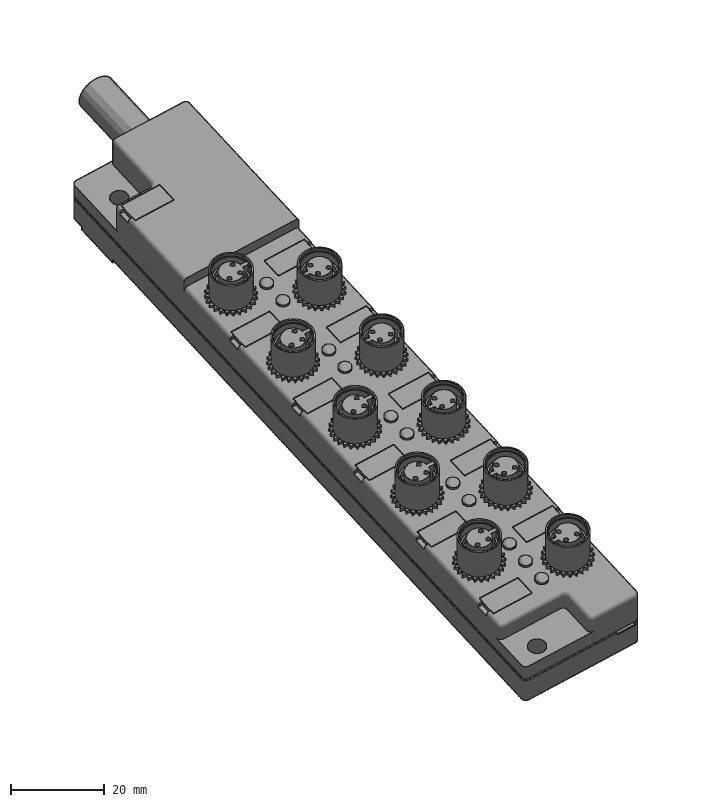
import cadquery as cq
import math


total_length = 186.9
width = 30.0
total_height = 25.6
cable_length = 18.7
lip_projection = 0.5
housing_end = total_length - lip_projection
step_x = 60.2
tall_height = 19.6
deck_height = 16.8
edge_radius = 1.1
bottom_chamfer = 1.0

ledge_height = 12.0
left_ledge_end = 34.4
left_ledge_width = 10.0
right_ledge_start = 177.0
right_ledge_width = 17.0
screw_diameter = 4.1
screw_y = 5.8
left_screw_x = 28.0
right_screw_x = 182.8
screw_pad_diameter = 11.4

joint_z = 7.7
joint_gap = 0.5
joint_depth = 0.4
lip_thickness = 0.4
lip_start_y = 24.0
lip_width = 4.7

cable_diameter = 8.8
cable_y = 19.5
cable_z = 10.8
entry_depth = 0.5
entry_upper_diameter = 12.0
entry_lower_diameter = 11.4

pitch = 23.0
sockets_per_row = 5
front_socket_x = 67.8
front_socket_y = 7.0
back_socket_x = 77.5
back_socket_y = 23.2

shell_diameter = 9.5
mouth_diameter = 8.8
bore_diameter = 8.2
inner_bore_diameter = 7.3
insert_diameter = 5.6
mouth_depth = 0.7
bore_depth = 3.0
inner_bore_depth = 4.7
key_width = 1.0
pin_diameter = 1.05
pin_depth = 3.7
pin_offset = 1.4
collar_diameter = 11.4
collar_height = 0.7
collar_teeth = 24

dome_diameter = 3.0
dome_rim_height = 0.5
dome_cap_height = 0.5
dome_spacing = 6.0
first_dome_x = 69.5
last_group_x = 159.5
last_group_count = 3

label_width = 5.2
label_depth = 0.2
label_notch_width = 3.0
back_label_x = 66.3
back_label_start_y = 18.5
front_label_x = 78.7
front_label_end_y = 11.2
tall_label_x = 38.0


def box(x_range, y_range, z_range):
    """Box between the given limits along each axis."""
    low, high = zip(x_range, y_range, z_range)
    size = [b - a for a, b in zip(low, high)]
    return cq.Workplane("XY").box(*size, centered=False).translate(low)


def cylinder(diameter, bottom, top, x=0, y=0):
    """Upright cylinder between two heights."""
    return cq.Workplane("XY", origin=(x, y, bottom)).circle(diameter / 2).extrude(top - bottom)


def rounded_block(outline, bottom, height):
    """Upright block on a closed outline, with all upright corners and the top rim rounded."""
    block = cq.Workplane("XY", origin=(0, 0, bottom)).polyline(outline).close().extrude(height - bottom)
    return block.edges("|Z").fillet(edge_radius).faces(">Z").edges().fillet(edge_radius)


def housing():
    """Full-length base below the ledges, a low deck and a tall block at the cable end."""
    base = box((cable_length, housing_end), (0, width), (0, ledge_height))
    base = base.edges("|Z").fillet(edge_radius).faces("<Z").edges().chamfer(bottom_chamfer)

    overrun = 2 * edge_radius

    deck_start = step_x - overrun
    deck_outline = [
        (deck_start, 0),
        (right_ledge_start, 0),
        (right_ledge_start, right_ledge_width),
        (housing_end, right_ledge_width),
        (housing_end, width),
        (deck_start, width),
    ]
    deck = rounded_block(deck_outline, ledge_height, deck_height)
    deck = deck.intersect(box((step_x, total_length), (0, width), (0, total_height)))

    tall_end = step_x + overrun
    tall_outline = [
        (cable_length, left_ledge_width),
        (left_ledge_end, left_ledge_width),
        (left_ledge_end, 0),
        (tall_end, 0),
        (tall_end, width),
        (cable_length, width),
    ]
    tall_block = rounded_block(tall_outline, ledge_height, tall_height)
    tall_block = tall_block.intersect(box((cable_length, step_x), (0, width), (0, total_height)))

    return base.union(deck).union(tall_block)


def screw_pad():
    """Pad around the left screw hole that fills the chamfered bottom edge out to the front side."""
    pad = cylinder(screw_pad_diameter, 0, bottom_chamfer, left_screw_x, screw_y)
    half_pad = screw_pad_diameter / 2
    bridge = box((left_screw_x - half_pad, left_screw_x + half_pad), (0, screw_y), (0, bottom_chamfer))
    return pad.union(bridge)


def joint_groove():
    """Shallow groove around the housing where the two shells meet."""
    z_range = (joint_z - joint_gap / 2, joint_z + joint_gap / 2)
    outer = box((cable_length, housing_end), (0, width), z_range)
    inner = box(
        (cable_length + joint_depth, housing_end - joint_depth),
        (joint_depth, width - joint_depth),
        z_range,
    )
    inner = inner.edges("|Z").fillet(edge_radius - joint_depth)
    return outer.cut(inner)


def joint_lip():
    """Small lip that sticks out of the far end at the joint."""
    z_range = (joint_z - lip_thickness / 2, joint_z + lip_thickness / 2)
    return box(
        (housing_end - edge_radius, total_length),
        (lip_start_y, lip_start_y + lip_width),
        z_range,
    )


def cable_entry():
    """Shallow recess around the cable: an arch in the upper shell and a round seat in the lower one."""
    end_plane = cq.Workplane("YZ", origin=(cable_length, cable_y, cable_z))
    arch_radius = entry_upper_diameter / 2
    joint_drop = joint_z - cable_z
    arch = (
        end_plane.moveTo(-arch_radius, joint_drop)
        .lineTo(-arch_radius, 0)
        .threePointArc((0, arch_radius), (arch_radius, 0))
        .lineTo(arch_radius, joint_drop)
        .close()
        .extrude(entry_depth)
    )
    seat = end_plane.circle(entry_lower_diameter / 2).extrude(entry_depth)
    return arch.union(seat)


def cable():
    """Round cable that runs from the free end into the housing."""
    start = cq.Workplane("YZ", origin=(0, cable_y, cable_z))
    return start.circle(cable_diameter / 2).extrude(cable_length + 2 * entry_depth)


def knurled_collar():
    """Low ring of pointed teeth around the foot of a socket."""
    outline = []
    for index in range(2 * collar_teeth):
        radius = (collar_diameter if index % 2 == 0 else shell_diameter) / 2
        angle = math.pi * index / collar_teeth
        outline.append((radius * math.cos(angle), radius * math.sin(angle)))
    deck = cq.Workplane("XY", origin=(0, 0, deck_height))
    return deck.polyline(outline).close().extrude(collar_height)


def socket():
    """Socket centred on the Z axis, with its key facing -Y and its knurled collar on the deck."""
    top = total_height
    shell = cylinder(shell_diameter, deck_height, top)
    body = shell.union(knurled_collar())

    mouth = cylinder(mouth_diameter, top - mouth_depth, top)
    bore = cylinder(bore_diameter, top - bore_depth, top)
    inner_bore = cylinder(inner_bore_diameter, top - inner_bore_depth, top)
    body = body.cut(mouth).cut(bore).cut(inner_bore)

    insert = cylinder(insert_diameter, top - inner_bore_depth, top - mouth_depth)
    key = box(
        (-key_width / 2, key_width / 2),
        (-mouth_diameter / 2, 0),
        (top - inner_bore_depth, top - mouth_depth),
    )
    body = body.union(insert).union(key)
    for x_side, y_side in [(1, 1), (1, -1), (-1, -1)]:
        pin_hole = cylinder(
            pin_diameter, top - mouth_depth - pin_depth, top, x_side * pin_offset, y_side * pin_offset
        )
        body = body.cut(pin_hole)
    return body


def dome(x):
    """Indicator dome on the long centre line of the deck: a short round rim under a curved cap."""
    radius = dome_diameter / 2
    top = dome_rim_height + dome_cap_height
    cap_radius = (radius**2 + dome_cap_height**2) / (2 * dome_cap_height)
    half_angle = math.asin(radius / cap_radius) / 2
    cap_middle = (cap_radius * math.sin(half_angle), top - cap_radius * (1 - math.cos(half_angle)))
    profile = (
        cq.Workplane("XZ")
        .lineTo(radius, 0)
        .lineTo(radius, dome_rim_height)
        .threePointArc(cap_middle, (0, top))
        .close()
    )
    return profile.revolve(360, (0, 0), (0, 1)).translate((x, width / 2, deck_height))


def label_recess(x, y_range, surface_z, side_y):
    """Shallow label recess, with a square notch through the rounded edge at side_y."""
    half_label = label_width / 2
    recess = box((x - half_label, x + half_label), y_range, (surface_z - label_depth, surface_z))
    inner_y = edge_radius if side_y == 0 else side_y - edge_radius
    notch = box(
        (x - label_notch_width / 2, x + label_notch_width / 2),
        sorted((side_y, inner_y)),
        (surface_z - edge_radius, surface_z),
    )
    return recess.union(notch)


part = housing().union(screw_pad()).cut(joint_groove()).cut(cable_entry())
part = part.union(joint_lip()).union(cable())

for screw_x in (left_screw_x, right_screw_x):
    part = part.cut(cylinder(screw_diameter, 0, ledge_height, screw_x, screw_y))

front_label_range = (edge_radius, front_label_end_y)
back_label_range = (back_label_start_y, width - edge_radius)
part = part.cut(label_recess(tall_label_x, front_label_range, tall_height, 0))
for index in range(sockets_per_row):
    shift = index * pitch
    part = part.cut(label_recess(front_label_x + shift, front_label_range, deck_height, 0))
    part = part.cut(label_recess(back_label_x + shift, back_label_range, deck_height, width))

back_socket = socket()
front_socket = back_socket.mirror("XZ")
for index in range(sockets_per_row):
    shift = index * pitch
    part = part.union(front_socket.translate((front_socket_x + shift, front_socket_y, 0)))
    part = part.union(back_socket.translate((back_socket_x + shift, back_socket_y, 0)))

dome_places = [
    first_dome_x + index * pitch + side * dome_spacing
    for index in range(sockets_per_row - 1)
    for side in range(2)
]
dome_places += [last_group_x + index * dome_spacing for index in range(last_group_count)]
for x in dome_places:
    part = part.union(dome(x))

result = part